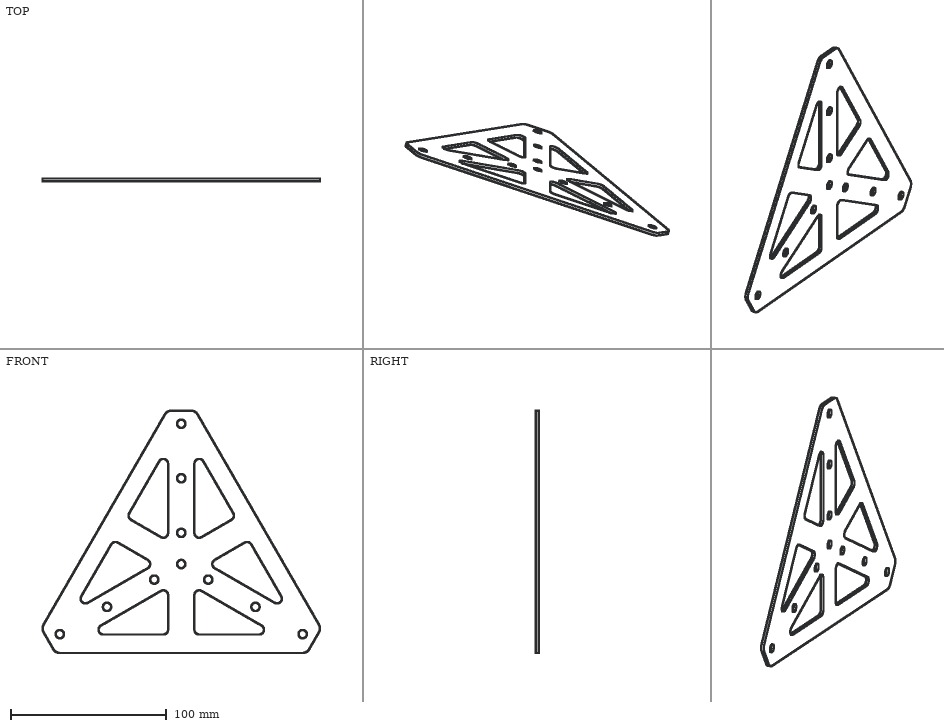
import cadquery as cq
import math

thickness = 2.0
plate_height = 155.66
outer_corner_radius = 5.0
hole_diameter = 5.2
hole_distances = (20.0, 55.0, 90.0)
rib_width = 17.0
rim_width = 12.0
window_corner_radius = 3.0

rib_half = rib_width / 2
tip_distance = max(hole_distances) + rib_half
side_distance = plate_height - tip_distance
window_side_distance = side_distance - rim_width
arm_pitch = 120
arm_angles = [90 + arm_pitch * arm for arm in range(3)]
half_tip_angle = math.radians(30)


def polar(distance, angle):
    """Point in the plate's plane at a distance and angle (degrees) from the centre."""
    return (distance * math.cos(math.radians(angle)), distance * math.sin(math.radians(angle)))


def prism(points):
    """Plate-thick prism over a closed outline, centred on Y = 0."""
    return cq.Workplane("XZ").polyline(points).close().extrude(thickness / 2, both=True)


def make_plate():
    """Equilateral triangle with its three tips cut off square and its corners rounded."""
    tip_half = (2 * side_distance - tip_distance) * math.tan(half_tip_angle)
    corner_distance = math.hypot(tip_distance, tip_half)
    corner_offset = math.degrees(math.atan2(tip_half, tip_distance))
    points = []
    for angle in arm_angles:
        points.append(polar(corner_distance, angle - corner_offset))
        points.append(polar(corner_distance, angle + corner_offset))
    return prism(points).edges("|Y").fillet(outer_corner_radius)


def make_window():
    """Rounded triangular window between the lower vertical rib and the 30 degree rib."""
    slope = math.tan(half_tip_angle)
    rib_offset = rib_half / math.cos(half_tip_angle)
    inner_corner = (rib_half, -rib_half * slope - rib_offset)
    square_corner = (rib_half, -window_side_distance)
    sharp_corner = ((window_side_distance - rib_offset) / slope, -window_side_distance)
    return prism([inner_corner, square_corner, sharp_corner]).edges("|Y").fillet(window_corner_radius)


def cut_windows(plate):
    """Two mirrored windows along each long side, repeated around the centre."""
    window = make_window()
    for cutter in (window, window.mirror("YZ")):
        for arm in range(len(arm_angles)):
            plate = plate.cut(cutter.rotate((0, 0, 0), (0, 1, 0), arm * arm_pitch))
    return plate


def drill_holes(plate):
    """Centre hole and a row of holes along each arm."""
    points = [(0, 0)]
    for angle in arm_angles:
        for distance in hole_distances:
            points.append(polar(distance, angle))
    holes = cq.Workplane("XZ").pushPoints(points).circle(hole_diameter / 2).extrude(thickness / 2, both=True)
    return plate.cut(holes)


result = drill_holes(cut_windows(make_plate()))